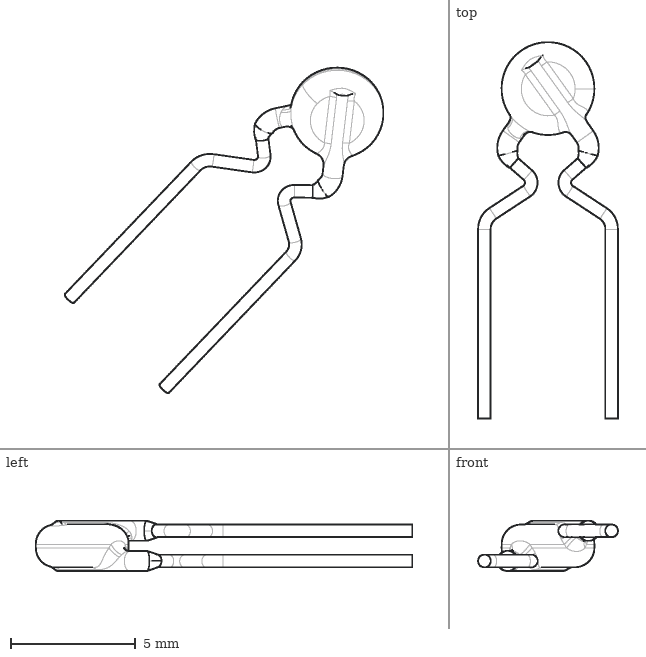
import cadquery as cq

OVERALL_WIDTH = 5.62
OVERALL_LENGTH = 15.1

BEAD_DIAMETER = 3.73
BEAD_THICKNESS = 1.72
BEAD_EDGE_RADIUS = 0.79

LEAD_ANGLES = (0, 180)
WIRE_DIAMETER = 0.51
WIRE_LEVEL = 0.6
LEG_X = (OVERALL_WIDTH - WIRE_DIAMETER) / 2
LEG_END_Y = BEAD_DIAMETER / 2 - OVERALL_LENGTH
WIRE_TIP = (-0.5, 0.85)
NECK_CORNER = (1.9, -2.5)
KINK_CORNER = (0.41, -3.82)
LEG_CORNER = (LEG_X, -5.22)
NECK_BEND_RADIUS = 0.8
KINK_BEND_RADIUS = 0.41
LEG_BEND_RADIUS = 0.75

SLEEVE_DIAMETER = 0.82
SLEEVE_OVERHANG = 0.15
SLEEVE_TIP_LENGTH = 0.18
SLEEVE_TIP_DIAMETER = 0.36
SLEEVE_BLEND_RADIUS = 0.5

TAPER_START = 0.6
TAPER_END_LIP = 0.008
TAPER_END_DIAMETER = WIRE_DIAMETER + 2 * TAPER_END_LIP
TAPER_STATIONS = 4

SEAM_TOLERANCE = 0.0002


def at_wire_level(point):
    return cq.Vector(point[0], point[1], WIRE_LEVEL)


def bend(before, corner, after, radius):
    """Arc of the given radius that rounds a corner of the wire's centre line."""
    toward_before = (before - corner).normalized()
    toward_after = (after - corner).normalized()
    bisector = (toward_before + toward_after).normalized()
    cosine = bisector.dot(toward_before)
    sine = (1 - cosine**2) ** 0.5
    tangent_length = radius * cosine / sine
    middle = corner + bisector * (radius / sine - radius)
    return cq.Edge.makeThreePointArc(
        corner + toward_before * tangent_length,
        middle,
        corner + toward_after * tangent_length,
    )


tip = at_wire_level(WIRE_TIP)
neck = at_wire_level(NECK_CORNER)
kink = at_wire_level(KINK_CORNER)
leg_top = at_wire_level(LEG_CORNER)
leg_end = at_wire_level((LEG_X, LEG_END_Y))

neck_bend = bend(tip, neck, kink, NECK_BEND_RADIUS)
kink_bend = bend(neck, kink, leg_top, KINK_BEND_RADIUS)
leg_bend = bend(kink, leg_top, leg_end, LEG_BEND_RADIUS)


def disc_across(edge, fraction, diameter):
    """Circle square to an edge, centred on the point at a fraction of its length."""
    return cq.Wire.makeCircle(diameter / 2, edge.positionAt(fraction), edge.tangentAt(fraction))


def sweep_round(edges, diameter):
    path = cq.Wire.assembleEdges(edges)
    return cq.Solid.sweep(disc_across(edges[0], 0, diameter), [], path)


def make_wire():
    return sweep_round(
        [
            cq.Edge.makeLine(tip, neck_bend.startPoint()),
            neck_bend,
            cq.Edge.makeLine(neck_bend.endPoint(), kink_bend.startPoint()),
            kink_bend,
            cq.Edge.makeLine(kink_bend.endPoint(), leg_bend.startPoint()),
            leg_bend,
            cq.Edge.makeLine(leg_bend.endPoint(), leg_end),
        ],
        WIRE_DIAMETER,
    )


def make_sleeve():
    outward = (tip - neck).normalized()
    closed_end = tip + outward * SLEEVE_OVERHANG
    straight = cq.Edge.makeLine(closed_end, neck_bend.startPoint())
    arc = cq.Edge.makeThreePointArc(
        neck_bend.startPoint(),
        neck_bend.positionAt(TAPER_START / 2),
        neck_bend.positionAt(TAPER_START),
    )
    closed_tip = cq.Solid.makeCone(
        SLEEVE_DIAMETER / 2, SLEEVE_TIP_DIAMETER / 2, SLEEVE_TIP_LENGTH, closed_end, outward
    )
    return sweep_round([straight, arc], SLEEVE_DIAMETER).fuse(closed_tip)


def make_taper():
    """End of the sleeve, narrowing to the wire along the rest of the neck bend."""
    sections = []
    for station in range(TAPER_STATIONS):
        progress = station / (TAPER_STATIONS - 1)
        diameter = SLEEVE_DIAMETER + (TAPER_END_DIAMETER - SLEEVE_DIAMETER) * progress
        sections.append(disc_across(neck_bend, TAPER_START + (1 - TAPER_START) * progress, diameter))
    return cq.Solid.makeLoft(sections)


def turned(shape, angle):
    return shape.rotate(cq.Vector(0, 0, 0), cq.Vector(0, 1, 0), angle)


def make_bead():
    return (
        cq.Workplane("XY")
        .cylinder(BEAD_THICKNESS, BEAD_DIAMETER / 2)
        .edges("%CIRCLE")
        .fillet(BEAD_EDGE_RADIUS)
        .val()
    )


def seam_edges(body, first, second):
    """Edges of a fused body that lie on both of the shapes it was fused from."""
    edges = []
    for edge in body.Edges():
        middle = cq.Vertex.makeVertex(*edge.positionAt(0.5).toTuple())
        if max(middle.distance(first), middle.distance(second)) < SEAM_TOLERANCE:
            edges.append(edge)
    return edges


def make_coating(wires):
    """Bead with a blended sleeve along each wire, bored out where the wires run."""
    bead = make_bead()
    sleeve = make_sleeve()
    taper = make_taper()
    body = bead
    for angle in LEAD_ANGLES:
        placed_sleeve = turned(sleeve, angle)
        joined = body.fuse(placed_sleeve)
        seams = seam_edges(joined, bead, placed_sleeve)
        body = joined.fillet(SLEEVE_BLEND_RADIUS, seams)
    for angle in LEAD_ANGLES:
        body = body.fuse(turned(taper, angle))
    return cq.Workplane(body.cut(*wires).Solids()[0])


wires = [turned(make_wire(), angle) for angle in LEAD_ANGLES]
coating = make_coating(wires)
result = cq.Compound.makeCompound([coating.val(), *wires])